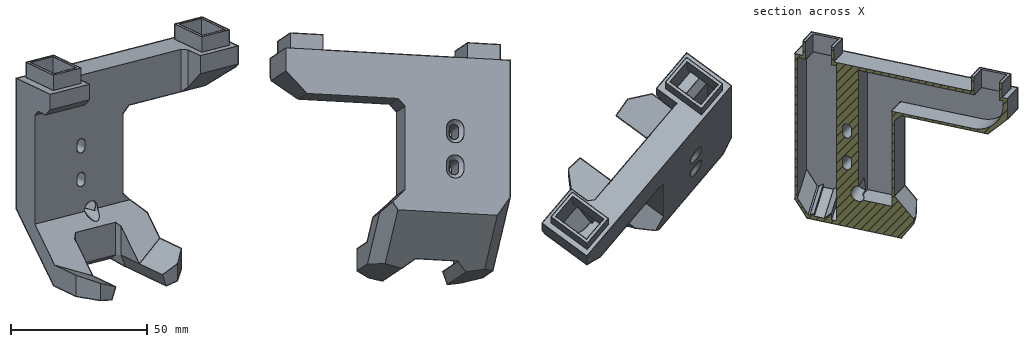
import cadquery as cq
import math

length = 85.7
reach = 43.5
height = 82.4

wall = 1.2
plate = 11.5

tenon_height = 6.0
bar_top = height - tenon_height
bar_bottom = 59.7
bar_end_chamfer = 8.0
leg_width = 40.2
armpit_chamfer = 2.7

slant_angle = 45.0
slant_out = 18.1
slant_in = 34.1
foot_width = 47.9
foot_middle = foot_width / 2
foot_side_chamfer = 5.0
leg_flare = foot_width - leg_width

prong_top = 10.3
prong_lip = 4.8
prong_width = 13.4
prong_keel = 11.6
prong_rise = 2.0
prong_tip_chamfer = 6.4

notch_end = 16.5
notch_corner = 1.45
notch_foot_half = foot_middle - prong_keel
notch_foot_end = notch_end - prong_lip
notch_foot_corner = 6.5

head_depth = 21.0
near_head_width = 17.9
near_head_side = 6.1
near_head_bottom = 67.4
near_head_chamfer = 2.9
near_head_blend = 2.05
back_head_start = 68.4
back_head_side = 7.1
back_head_blend = 1.9

tenon_x = 1.5
tenon_depth = 16.9
tenon_width = 12.5
near_tenon_y = 3.3
back_tenon_y = 71.05

slot_y = 21.1
slot_heights = (35.5, 48.7)
slot_width = 3.6
slot_straight = 2.0
sink_width = 6.7
sink_taper = 45.0

duct_depth = plate - wall
elbow_radius = 12.25
elbow_y = 71.6
roof = 1.5
duct_roof = bar_top - roof
bar_floor = bar_bottom + wall
drop_start = 25.7
drop_bottom = 21.4

guide_ribs = ((6.2, 1.8, 0.9), (12.0, 2.9, 2.05))

nozzle_radius = 2.9
nozzle_x = 11.0
nozzle_y = 25.6
nozzle_dip = 14.0
nozzle_length = 7.7


def prism_along_y(points, start, end):
    """Extrude an (x, z) outline from y = start to y = end."""
    return cq.Workplane("XZ", origin=(0, start, 0)).polyline(points).close().extrude(start - end)


def prism_along_x(points, start, end):
    """Extrude a (y, z) outline from x = start to x = end."""
    return cq.Workplane("YZ", origin=(start, 0, 0)).polyline(points).close().extrude(end - start)


def prism_along_slant(points):
    """Extrude a (y, depth below the outer slanted face) outline down the slant."""
    across_slant = cq.Plane(origin=(0, 0, slant_out), xDir=(0, 1, 0), normal=(1, 0, -1))
    return cq.Workplane(across_slant).polyline(points).close().extrude(slant_in, both=True)


def block(x, y, z, dx, dy, dz):
    return cq.Workplane("XY").box(dx, dy, dz, centered=False).translate((x, y, z))


def mirror_across_foot(shape):
    """Mirror a shape across the middle plane of the foot."""
    return shape.mirror("XZ", (0, foot_middle, 0))


def wall_body():
    """Bar, leg and slanted foot, with both heads on the bar."""
    plate_outline = [
        (0, bar_top), (plate, bar_top), (plate, slant_in - plate),
        (slant_in, 0), (slant_out, 0), (0, slant_out),
    ]
    near_head_outline = [
        (0, bar_top), (head_depth, bar_top), (head_depth, bar_top - near_head_side),
        (head_depth - near_head_chamfer, near_head_bottom),
        (plate + near_head_blend, near_head_bottom),
        (plate, near_head_bottom - near_head_blend), (0, near_head_bottom - near_head_blend),
    ]
    back_head_side_bottom = bar_top - back_head_side
    back_head_outline = [
        (0, bar_top), (head_depth, bar_top), (head_depth, back_head_side_bottom),
        (plate, back_head_side_bottom - (head_depth - plate)), (0, bar_bottom),
    ]
    back_head_plan = [
        (0, length), (head_depth, length), (head_depth, back_head_start),
        (plate + back_head_blend, back_head_start),
        (plate, back_head_start - back_head_blend), (0, back_head_start - back_head_blend),
    ]
    side_outline = [
        (0, bar_top), (length, bar_top), (length, bar_bottom + bar_end_chamfer),
        (length - bar_end_chamfer, bar_bottom), (leg_width + armpit_chamfer, bar_bottom),
        (leg_width, bar_bottom - armpit_chamfer), (leg_width, slant_out + leg_flare),
        (foot_width, slant_out), (foot_width, prong_rise),
        (foot_width - prong_keel, 0), (prong_keel, 0), (0, prong_rise),
    ]
    back_head = prism_along_y(back_head_outline, 0, length).intersect(
        cq.Workplane("XY").polyline(back_head_plan).close().extrude(bar_top)
    )
    body = prism_along_y(plate_outline, 0, length)
    body = body.union(prism_along_y(near_head_outline, 0, near_head_width)).union(back_head)
    return body.intersect(prism_along_x(side_outline, 0, reach))


def prong():
    """Near prong: sloping top and underside, outer corner of the tip cut off."""
    section = [
        (0, prong_rise), (prong_keel, 0), (prong_width, prong_lip), (0, prong_top),
    ]
    tip = [(reach - prong_tip_chamfer, 0), (reach, 0), (reach, prong_tip_chamfer)]
    tip_cut = cq.Workplane("XY").polyline(tip).close().extrude(prong_top)
    return prism_along_x(section, slant_out, reach).cut(tip_cut)


def notch_outline(end, half_width, corner):
    """Outline open towards +X with both inner corners cut."""
    low = foot_middle - half_width
    high = foot_middle + half_width
    return [
        (reach + wall, low), (end + corner, low), (end, low + corner),
        (end, high - corner), (end + corner, high), (reach + wall, high),
    ]


def notch():
    """Gap between the prongs, widening downwards below the prong lips."""
    lip = notch_outline(notch_end, foot_middle - prong_width, notch_corner)
    base = notch_outline(notch_foot_end, notch_foot_half, notch_foot_corner)
    lower = (
        cq.Workplane("XY").polyline(base).close()
        .workplane(offset=prong_lip).polyline(lip).close()
        .loft(ruled=True)
    )
    upper = cq.Workplane("XY", origin=(0, 0, prong_lip)).polyline(lip).close().extrude(slant_out)
    return lower.union(upper)


def slant_side_wedge(size):
    """Wedge along the outer slanted face that bevels its edge on the y = 0 side."""
    return prism_along_slant([(0, 0), (size, 0), (0, size)])


def guide_rib(start, width, rise):
    """Ramp climbing towards +Y from the slanted duct floor, with a square back."""
    end = start + width
    return prism_along_slant([(start, wall), (end, wall), (end, wall + rise)])


def tenon(y):
    return block(tenon_x, y, bar_top, tenon_depth, tenon_width, tenon_height)


def socket(y):
    """Opening through a tenon down to the roof of its duct."""
    return block(
        tenon_x + wall, y + wall, duct_roof,
        tenon_depth - 2 * wall, tenon_width - 2 * wall, height - duct_roof,
    )


def near_duct():
    """Duct from the near socket down the leg to a ribbed floor parallel to the slanted face."""
    floor = slant_out + wall * math.sqrt(2)
    corner_shift = wall * math.tan(math.radians(slant_angle / 2))
    ledge = near_head_bottom + wall
    ledge_start = plate + near_head_blend - corner_shift
    socket_end = tenon_x + tenon_depth - wall
    outline = [
        (wall, duct_roof), (socket_end, duct_roof), (socket_end, ledge), (ledge_start, ledge),
        (duct_depth, ledge - (ledge_start - duct_depth)),
        (duct_depth, floor - duct_depth), (wall, floor - wall),
    ]
    duct = prism_along_y(outline, wall, near_head_width - wall)
    duct = duct.cut(slant_side_wedge(foot_side_chamfer + wall * math.sqrt(2)))
    for start, width, rise in guide_ribs:
        duct = duct.cut(guide_rib(start, width, rise))
    return duct


def back_duct():
    """Duct from the back socket round an elbow, along the bar and down the leg."""
    socket_end = tenon_x + tenon_depth - wall
    elbow_end = elbow_y + elbow_radius
    elbow_center_z = bar_floor + elbow_radius
    diagonal = elbow_radius * math.sqrt(0.5)
    passage = (
        cq.Workplane("YZ", origin=(wall, 0, 0))
        .moveTo(drop_start, duct_roof)
        .lineTo(elbow_end, duct_roof)
        .lineTo(elbow_end, elbow_center_z)
        .threePointArc((elbow_y + diagonal, elbow_center_z - diagonal), (elbow_y, bar_floor))
        .lineTo(leg_width - wall, bar_floor)
        .lineTo(leg_width - wall, drop_bottom)
        .lineTo(drop_start, drop_bottom)
        .close()
        .extrude(socket_end - wall)
    )
    slope = bar_top - back_head_side - head_depth + wall * math.sqrt(2)
    head_section = [
        (duct_depth, slope + duct_depth), (socket_end, slope + socket_end),
        (socket_end, duct_roof), (duct_depth, duct_roof),
    ]
    bar_space = block(0, 0, 0, duct_depth, length, bar_top)
    head_space = prism_along_y(head_section, back_head_start + wall, length)
    return passage.intersect(bar_space.union(head_space))


def nozzle():
    dip = math.radians(nozzle_dip)
    outward = cq.Vector(math.cos(dip), 0, -math.sin(dip))
    mouth = cq.Vector(nozzle_x, nozzle_y, slant_in - nozzle_x)
    start = mouth - outward * nozzle_length
    return cq.Workplane(
        cq.Solid.makeCylinder(nozzle_radius, 2 * nozzle_length, start, outward)
    )


def mounting_slot(z):
    """Upright slot through the leg, countersunk from the outer face."""
    sink_depth = (sink_width - slot_width) / 2 / math.tan(math.radians(sink_taper))
    face = cq.Workplane("YZ", origin=(0, slot_y, z))
    through = face.slot2D(slot_width + slot_straight, slot_width, 90).extrude(plate)
    sink = face.slot2D(sink_width + slot_straight, sink_width, 90).extrude(sink_depth, taper=sink_taper)
    return through.union(sink)


near_prong = prong()
side_wedge = slant_side_wedge(foot_side_chamfer)

result = wall_body().union(near_prong).union(mirror_across_foot(near_prong)).cut(notch())
result = result.cut(side_wedge).cut(mirror_across_foot(side_wedge))

for tenon_y in (near_tenon_y, back_tenon_y):
    result = result.union(tenon(tenon_y)).cut(socket(tenon_y))

result = result.cut(near_duct()).cut(back_duct()).cut(nozzle())

for slot_z in slot_heights:
    result = result.cut(mounting_slot(slot_z))